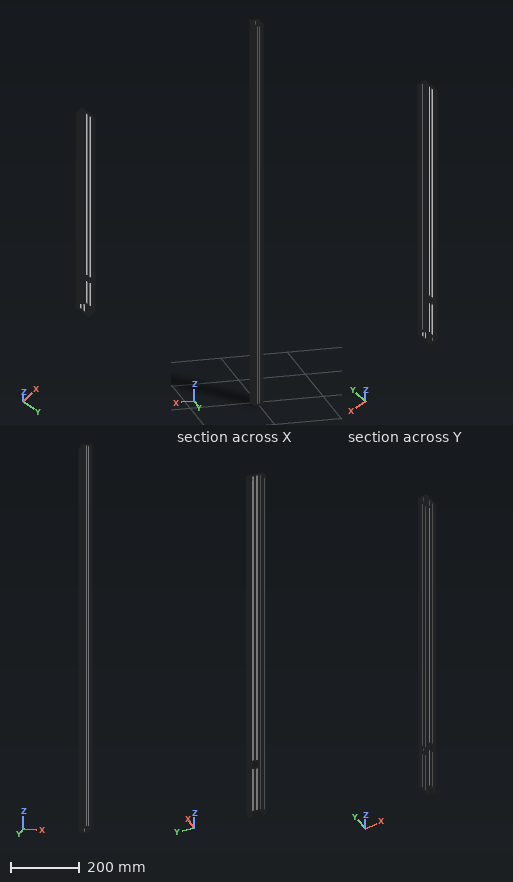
import cadquery as cq

width = 25.4
depth = 50.8
length = 1167.68

wall = 1.27
boss_diameter = 7.0
screw_bore_diameter = 5.0
boss_inset = boss_diameter / 2

groove_width = 1.2
groove_depth = 0.6
groove_pitch = depth / 4

cross_hole_diameter = width
cross_hole_height = 162.56


def corner_points(x, y):
    """Four points mirrored about both centre planes."""
    return [(sx * x, sy * y) for sx in (-1, 1) for sy in (-1, 1)]


def tube():
    """Hollow tube with a round boss in each inside corner."""
    outer = cq.Workplane("XY").rect(width, depth).extrude(length)
    cavity = cq.Workplane("XY").rect(width - 2 * wall, depth - 2 * wall).extrude(length)
    bosses = (
        cq.Workplane("XY")
        .pushPoints(corner_points(width / 2 - boss_inset, depth / 2 - boss_inset))
        .circle(boss_diameter / 2)
        .extrude(length)
    )
    return outer.cut(cavity.cut(bosses))


def screw_bores():
    """Round channels along the four corners."""
    return (
        cq.Workplane("XY")
        .pushPoints(corner_points(width / 2 - boss_inset, depth / 2 - boss_inset))
        .circle(screw_bore_diameter / 2)
        .extrude(length)
    )


def groove(face_distance, offset, angle):
    """V groove on the face at face_distance from the axis, turned to angle about Z."""
    half = groove_width / 2
    return (
        cq.Workplane("XY")
        .polyline([
            (face_distance, offset - half),
            (face_distance - groove_depth, offset),
            (face_distance, offset + half),
        ])
        .close()
        .extrude(length)
        .rotate((0, 0, 0), (0, 0, 1), angle)
    )


def cross_hole():
    """Hole along X through both wide walls."""
    return (
        cq.Workplane("YZ")
        .center(0, cross_hole_height)
        .circle(cross_hole_diameter / 2)
        .extrude(width, both=True)
    )


def grooves():
    """Three grooves on each wide face and one on each narrow face."""
    cutter = cq.Workplane("XY")
    for side in (0, 180):
        for offset in (-groove_pitch, 0, groove_pitch):
            cutter = cutter.add(groove(width / 2, offset, side))
        cutter = cutter.add(groove(depth / 2, 0, side + 90))
    return cutter.combine()


result = tube().cut(screw_bores()).cut(grooves()).cut(cross_hole())